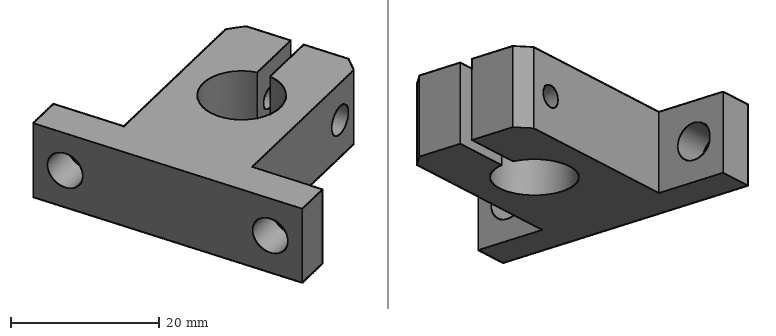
import cadquery as cq

flange_length = 42.0
flange_thickness = 5.5
total_height = 35.0
thickness = 12.0

block_width = 20.0
corner_chamfer = 2.0

bore_diameter = 12.0
bore_height = 20.0
slot_width = 2.0

mount_hole_diameter = 5.5
mount_hole_spacing = 32.0

tap_diameter = 3.24
clearance_diameter = 4.5
screw_height = 29.25


def make_body():
    """T-shaped block: mounting flange with a chamfered clamp block on top."""
    flange = cq.Workplane("XY").box(
        flange_length, flange_thickness, thickness, centered=(True, False, True)
    )
    block = (
        cq.Workplane("XY")
        .box(block_width, total_height, thickness, centered=(True, False, True))
        .edges("|Z and >Y")
        .chamfer(corner_chamfer)
    )
    return flange.union(block)


def make_bore_and_slot():
    """Shaft bore through Z with the slot running from it to the end of the block."""
    bore = (
        cq.Workplane("XY")
        .center(0, bore_height)
        .circle(bore_diameter / 2)
        .extrude(thickness / 2, both=True)
    )
    slot = (
        cq.Workplane("XY")
        .box(slot_width, total_height - bore_height, thickness, centered=(True, False, True))
        .translate((0, bore_height, 0))
    )
    return bore.union(slot)


def make_mount_holes():
    """Two mounting holes through the flange along Y."""
    half_spacing = mount_hole_spacing / 2
    return (
        cq.Workplane("XZ")
        .pushPoints([(-half_spacing, 0), (half_spacing, 0)])
        .circle(mount_hole_diameter / 2)
        .extrude(-flange_thickness)
    )


def make_screw_hole():
    """Clamp screw hole along X: tapped size on -X, clearance size on +X."""
    jaw = cq.Workplane("YZ").center(screw_height, 0)
    tapped = jaw.circle(tap_diameter / 2).extrude(-block_width / 2)
    clearance = jaw.circle(clearance_diameter / 2).extrude(block_width / 2)
    return tapped.union(clearance)


result = (
    make_body()
    .cut(make_bore_and_slot())
    .cut(make_mount_holes())
    .cut(make_screw_hole())
)